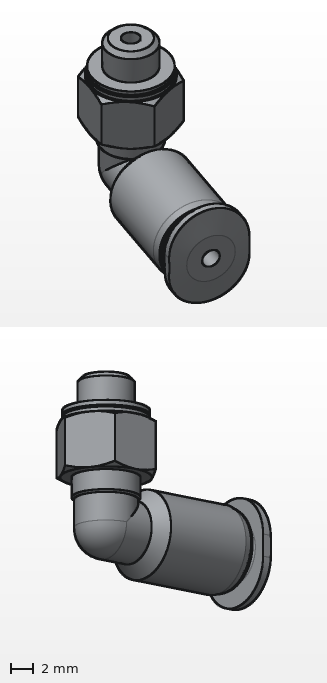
import cadquery as cq
import math

elbow_radius = 2.8

hex_flats = 8.0
hex_corners = hex_flats / math.cos(math.radians(30))
hex_bottom = 4.51
hex_height = 5.0
hex_top = hex_bottom + hex_height
hex_chamfer_angle = 30

stud_radius = 2.5
stud_top = 13.51
stud_chamfer = 0.49
ring_radius = 3.82
ring_top = 10.53
groove_top = 10.1
groove_bottom = 10.0
groove_depth = 0.08
collar_radius = 3.0
collar_bottom = 2.52
collar_chamfer = collar_radius - elbow_radius
bore_radius = 0.85

body_radius = hex_flats / 2
shoulder_start = 2.82
shoulder_end = shoulder_start + body_radius - elbow_radius
body_end = 12.48
taper_end = 13.23
taper_radius = 3.8
lip_radius = 3.68
lip_end = 13.6
lip_chamfer = 0.12

neck_radius = 2.48
neck_fillet = 0.37
button_back = 14.49
button_front = 20.32 - hex_corners / 2
button_half_width = 3.9
button_offset = 1.0
button_half_height = button_half_width + button_offset
button_face_radius = 2.35
button_face_drop = 0.49


def make_elbow():
    upright = cq.Workplane("XY").circle(elbow_radius).extrude(collar_bottom)
    arm = cq.Workplane("YZ").circle(elbow_radius).extrude(shoulder_start)
    return cq.Workplane("XY").sphere(elbow_radius).union(upright).union(arm)


def make_hexagon():
    prism = (
        cq.Workplane("XY")
        .workplane(offset=hex_bottom)
        .polygon(6, hex_corners)
        .extrude(hex_height)
    )
    corner_radius = hex_corners / 2
    face_radius = hex_flats / 2
    corner_drop = (corner_radius - face_radius) * math.tan(math.radians(hex_chamfer_angle))
    trim = (
        cq.Workplane("XZ")
        .moveTo(0, hex_bottom)
        .lineTo(face_radius, hex_bottom)
        .lineTo(corner_radius, hex_bottom + corner_drop)
        .lineTo(corner_radius, hex_top - corner_drop)
        .lineTo(face_radius, hex_top)
        .lineTo(0, hex_top)
        .close()
        .revolve(360, (0, 0), (0, 1))
    )
    return prism.intersect(trim)


def make_stud():
    """Collar, sealing rings and stud, turned about the vertical axis."""
    groove_radius = ring_radius - groove_depth
    return (
        cq.Workplane("XZ")
        .moveTo(0, collar_bottom)
        .lineTo(elbow_radius, collar_bottom)
        .lineTo(collar_radius, collar_bottom + collar_chamfer)
        .lineTo(collar_radius, hex_top)
        .lineTo(ring_radius, hex_top)
        .lineTo(ring_radius, groove_bottom - groove_depth)
        .lineTo(groove_radius, groove_bottom)
        .lineTo(groove_radius, groove_top)
        .lineTo(ring_radius, groove_top)
        .lineTo(ring_radius, ring_top)
        .lineTo(stud_radius, ring_top)
        .lineTo(stud_radius, stud_top - stud_chamfer)
        .lineTo(stud_radius - stud_chamfer, stud_top)
        .lineTo(0, stud_top)
        .close()
        .revolve(360, (0, 0), (0, 1))
    )


def make_body():
    """Socket body and button neck, turned about the horizontal axis."""
    fillet_start = button_back - neck_fillet
    fillet_middle = neck_fillet * math.sqrt(0.5)
    return (
        cq.Workplane("XZ")
        .moveTo(shoulder_start, 0)
        .lineTo(shoulder_start, elbow_radius)
        .lineTo(shoulder_end, body_radius)
        .lineTo(body_end, body_radius)
        .lineTo(taper_end, taper_radius)
        .lineTo(taper_end, lip_radius)
        .lineTo(lip_end - lip_chamfer, lip_radius)
        .lineTo(lip_end, lip_radius - lip_chamfer)
        .lineTo(lip_end, neck_radius)
        .lineTo(fillet_start, neck_radius)
        .threePointArc(
            (fillet_start + fillet_middle, neck_radius + neck_fillet - fillet_middle),
            (button_back, neck_radius + neck_fillet),
        )
        .lineTo(button_back, 0)
        .close()
        .revolve(360, (0, 0), (1, 0))
    )


def make_button():
    """Obround plate whose front is trimmed by a shallow cone."""
    plate = (
        cq.Workplane("YZ")
        .workplane(offset=button_back)
        .slot2D(2 * button_half_height, 2 * button_half_width, 90)
        .extrude(button_front - button_back)
    )
    trim = (
        cq.Workplane("XZ")
        .moveTo(button_back, 0)
        .lineTo(button_back, button_half_height)
        .lineTo(button_front - button_face_drop, button_half_height)
        .lineTo(button_front, button_face_radius)
        .lineTo(button_front, 0)
        .close()
        .revolve(360, (0, 0), (1, 0))
    )
    return plate.intersect(trim)


def make_bore():
    """Passage from the stud tip, round the elbow and out through the button."""
    upright = cq.Workplane("XY").circle(bore_radius).extrude(stud_top)
    arm = cq.Workplane("YZ").circle(bore_radius).extrude(button_front)
    return cq.Workplane("XY").sphere(bore_radius).union(upright).union(arm)



result = (
    make_elbow()
    .union(make_stud())
    .union(make_hexagon())
    .union(make_body())
    .union(make_button())
    .cut(make_bore())
)